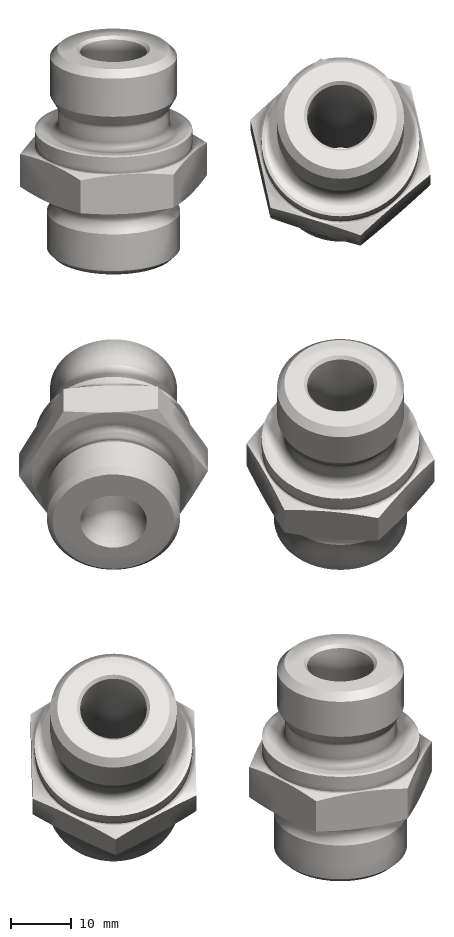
import cadquery as cq
import math

total_height = 36.0
hex_bottom = 12.0
hex_top = 19.0
collar_top = 21.95

hex_across_flats = 27.0
hex_corner_drop = 0.6

collar_diameter = 26.0
collar_rim_width = 0.5
collar_rim_drop = 0.1
dish_angle = math.radians(7)

upper_diameter = 20.95
upper_neck_diameter = 18.4
upper_chamfer = 1.22
upper_thread_bottom = 28.05
upper_root_radius = 1.2
upper_root_top = 22.95

lower_diameter = 22.0
lower_neck_diameter = 19.7
lower_chamfer = 0.97
lower_thread_top = 7.45
lower_root_radius = 1.0

runout_angle = math.radians(30)
runout_blend_radius = 1.0

bore_diameter = 11.0
bore_chamfer = 0.5


def runout_points(thread_radius, neck_radius):
    """Radius at the cone's small end, then axial lengths of the cone and of its blend into the neck."""
    cone_end_radius = neck_radius + runout_blend_radius * (1 - math.cos(runout_angle))
    cone_length = (thread_radius - cone_end_radius) / math.tan(runout_angle)
    blend_length = runout_blend_radius * math.sin(runout_angle)
    return cone_end_radius, cone_length, blend_length


def make_lower_end():
    radius = lower_diameter / 2
    neck = lower_neck_diameter / 2
    cone_end_radius, cone_length, blend_length = runout_points(radius, neck)
    cone_top = lower_thread_top + cone_length
    profile = (
        cq.Workplane("XZ")
        .lineTo(radius - lower_chamfer, 0)
        .lineTo(radius, lower_chamfer)
        .lineTo(radius, lower_thread_top)
        .lineTo(cone_end_radius, cone_top)
        .tangentArcPoint((neck, cone_top + blend_length), relative=False)
        .lineTo(neck, hex_bottom - lower_root_radius)
        .tangentArcPoint((neck + lower_root_radius, hex_bottom), relative=False)
        .lineTo(0, hex_bottom)
        .close()
    )
    return profile.revolve(360, (0, 0, 0), (0, 1, 0))


def make_hexagon():
    height = hex_top - hex_bottom
    flat_radius = hex_across_flats / 2
    corner_radius = flat_radius / math.cos(math.pi / 6)
    prism = (
        cq.Workplane("XY", origin=(0, 0, hex_bottom))
        .polygon(6, 2 * corner_radius)
        .extrude(height)
        .rotate((0, 0, 0), (0, 0, 1), 30)
    )
    envelope = (
        cq.Workplane("XZ")
        .moveTo(0, hex_bottom)
        .lineTo(flat_radius, hex_bottom)
        .lineTo(corner_radius, hex_bottom + hex_corner_drop)
        .lineTo(corner_radius, hex_top - hex_corner_drop)
        .lineTo(flat_radius, hex_top)
        .lineTo(0, hex_top)
        .close()
        .revolve(360, (0, 0, 0), (0, 1, 0))
    )
    return prism.intersect(envelope)


def make_upper_end():
    collar_radius = collar_diameter / 2
    radius = upper_diameter / 2
    neck = upper_neck_diameter / 2
    cone_end_radius, cone_length, blend_length = runout_points(radius, neck)
    cone_bottom = upper_thread_bottom - cone_length
    root_outer_radius = neck + upper_root_radius * (1 + math.sin(dish_angle))
    root_bottom = upper_root_top - upper_root_radius * math.cos(dish_angle)
    profile = (
        cq.Workplane("XZ")
        .moveTo(0, hex_top)
        .lineTo(collar_radius, hex_top)
        .lineTo(collar_radius, collar_top - collar_rim_drop)
        .lineTo(collar_radius - collar_rim_width, collar_top)
        .lineTo(root_outer_radius, root_bottom)
        .tangentArcPoint((neck, upper_root_top), relative=False)
        .lineTo(neck, cone_bottom - blend_length)
        .tangentArcPoint((cone_end_radius, cone_bottom), relative=False)
        .lineTo(radius, upper_thread_bottom)
        .lineTo(radius, total_height - upper_chamfer)
        .lineTo(radius - upper_chamfer, total_height)
        .lineTo(0, total_height)
        .close()
    )
    return profile.revolve(360, (0, 0, 0), (0, 1, 0))


def make_bore():
    radius = bore_diameter / 2
    profile = (
        cq.Workplane("XZ")
        .lineTo(radius, 0)
        .lineTo(radius, total_height - bore_chamfer)
        .lineTo(radius + bore_chamfer, total_height)
        .lineTo(0, total_height)
        .close()
    )
    return profile.revolve(360, (0, 0, 0), (0, 1, 0))


body = make_lower_end().union(make_hexagon()).union(make_upper_end())
result = body.cut(make_bore())